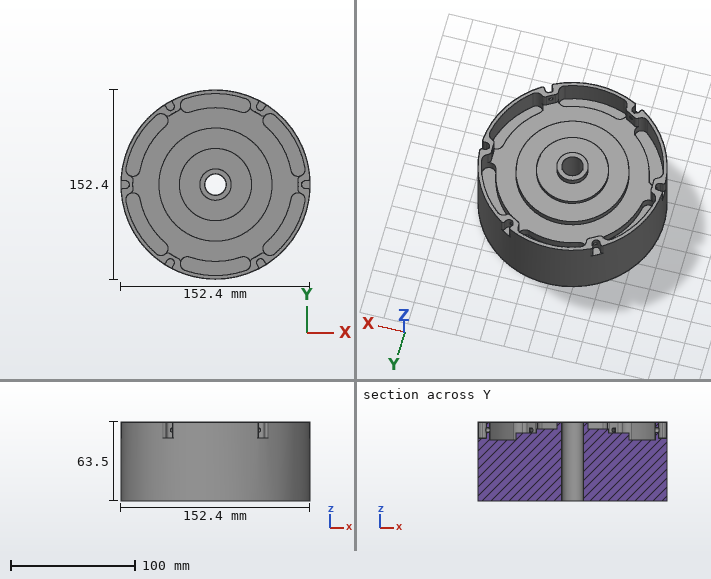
import cadquery as cq
import math

outer_radius = 76.2
height = 63.5

recess_radius = 66.6
recess_depth = 14.3
floor_z = height - recess_depth
bore_radius = 8.5
step_large_radius = 45.5
step_large_height = 5.6
step_small_radius = 29.1
step_small_height = 3.2
hub_radius = 12.6

pocket_count = 6
pocket_pitch = 360 / pocket_count
pocket_outer_radius = 73.3
pocket_width = 11.5
pocket_depth = 22.9
pocket_end_radius = pocket_width / 2
pocket_mid_radius = pocket_outer_radius - pocket_end_radius
pocket_inner_radius = pocket_outer_radius - pocket_width
pocket_half_angle = 19.5
pad_corner_radius = 3.2

notch_radius = 3.2
notch_floor_radius = 69.3
notch_depth = 12.8
mouth_fillet = 1.7
hole_diameter = 3.4
hole_drop = notch_depth / 2

edge_tolerance = 0.08


def polar(radius, angle):
    """Point at a radius and an angle in degrees from +X."""
    return (radius * math.cos(math.radians(angle)), radius * math.sin(math.radians(angle)))


def cylinder(radius, bottom_z, top_z):
    """Upright cylinder on the Z axis."""
    return cq.Workplane("XY").workplane(offset=bottom_z).circle(radius).extrude(top_z - bottom_z)


def pocket_tip(angle, turn):
    """Outermost point of a round pocket end, turned from the radial direction at its centre."""
    centre_x, centre_y = polar(pocket_mid_radius, angle)
    tip_x, tip_y = polar(pocket_end_radius, angle + turn)
    return (centre_x + tip_x, centre_y + tip_y)


def curved_pocket(middle_angle):
    """Arc-shaped slot with round ends, reaching down from the rim."""
    start = middle_angle - pocket_half_angle
    end = middle_angle + pocket_half_angle
    end_tip = pocket_tip(end, 90)
    start_tip = pocket_tip(start, -90)
    return (
        cq.Workplane("XY")
        .workplane(offset=height - pocket_depth)
        .moveTo(*polar(pocket_outer_radius, start))
        .threePointArc(polar(pocket_outer_radius, middle_angle), polar(pocket_outer_radius, end))
        .threePointArc(end_tip, polar(pocket_inner_radius, end))
        .threePointArc(polar(pocket_inner_radius, middle_angle), polar(pocket_inner_radius, start))
        .threePointArc(start_tip, polar(pocket_outer_radius, start))
        .close()
        .extrude(pocket_depth)
    )


def rim_notch(angle):
    """U-shaped notch open to the outside and to the rim."""
    end_centre = notch_floor_radius + notch_radius
    length = outer_radius - end_centre + notch_radius
    slot = cylinder(notch_radius, height - notch_depth, height).translate((end_centre, 0, 0))
    channel = (
        cq.Workplane("XY")
        .workplane(offset=height - notch_depth)
        .center(end_centre + length / 2, 0)
        .rect(length, 2 * notch_radius)
        .extrude(notch_depth)
    )
    return slot.union(channel).rotate((0, 0, 0), (0, 0, 1), angle)


def pad_hole(angle):
    """Radial hole from the recess into the notch."""
    hole = (
        cq.Workplane("YZ")
        .workplane(offset=recess_radius - notch_radius)
        .center(0, height - hole_drop)
        .circle(hole_diameter / 2)
        .extrude(outer_radius - recess_radius)
    )
    return hole.rotate((0, 0, 0), (0, 0, 1), angle)


def edges_at_radius(part, radius, length):
    """Select the straight vertical edges of a given length lying on a radius."""
    return part.edges("|Z").filter(
        lambda edge: abs(math.hypot(edge.Center().x, edge.Center().y) - radius) < edge_tolerance
        and abs(edge.Length() - length) < edge_tolerance
    )


pad_angles = [index * pocket_pitch for index in range(pocket_count)]

body = cylinder(outer_radius, 0, height).cut(cylinder(recess_radius, floor_z, height))
for pad_angle in pad_angles:
    body = body.cut(curved_pocket(pad_angle + pocket_pitch / 2))
body = edges_at_radius(body, recess_radius, recess_depth).fillet(pad_corner_radius)

for pad_angle in pad_angles:
    body = body.cut(rim_notch(pad_angle))
body = edges_at_radius(body, outer_radius, notch_depth).fillet(mouth_fillet)
for pad_angle in pad_angles:
    body = body.cut(pad_hole(pad_angle))

step_large_top = floor_z + step_large_height
step_small_top = step_large_top + step_small_height
body = body.union(cylinder(step_large_radius, floor_z, step_large_top))
body = body.union(cylinder(step_small_radius, step_large_top, step_small_top))
body = body.union(cylinder(hub_radius, step_small_top, height))
result = body.cut(cylinder(bore_radius, 0, height))